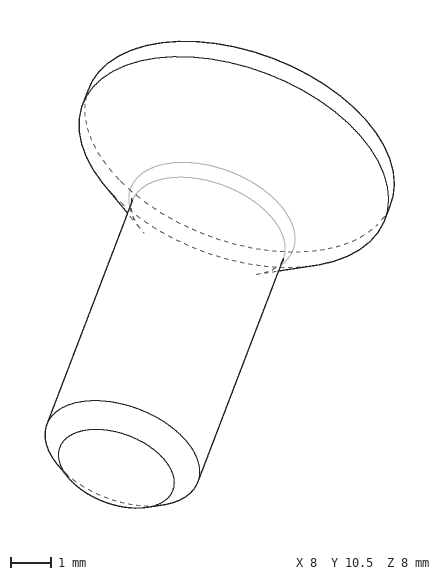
import cadquery as cq

total_length = 10.5
head_diameter = 8.0
shank_diameter = head_diameter / 2
edge_size = 0.5

head_radius = head_diameter / 2
shank_radius = shank_diameter / 2
cone_height = head_radius - shank_radius
neck_y = -(edge_size + cone_height)


def make_head():
    """Cylindrical rim with a 45 degree cone down to the shank."""
    profile = (
        cq.Workplane("XY")
        .moveTo(0, 0)
        .lineTo(head_radius, 0)
        .lineTo(head_radius, -edge_size)
        .lineTo(shank_radius, neck_y)
        .lineTo(0, neck_y)
        .close()
    )
    return profile.revolve(360, (0, 0, 0), (0, 1, 0))


def make_shank():
    """Plain shank from the neck to the chamfered tip."""
    shank_length = total_length + neck_y
    shank = (
        cq.Workplane("XZ", origin=(0, neck_y, 0))
        .circle(shank_radius)
        .extrude(shank_length)
    )
    return shank.faces("<Y").chamfer(edge_size)


screw = make_head().union(make_shank())

search_margin = 0.1
neck_edge = cq.selectors.BoxSelector(
    (-head_radius, neck_y - search_margin, -head_radius),
    (head_radius, neck_y + search_margin, head_radius),
    boundingbox=True,
)
result = screw.edges("%CIRCLE").edges(neck_edge).fillet(edge_size)